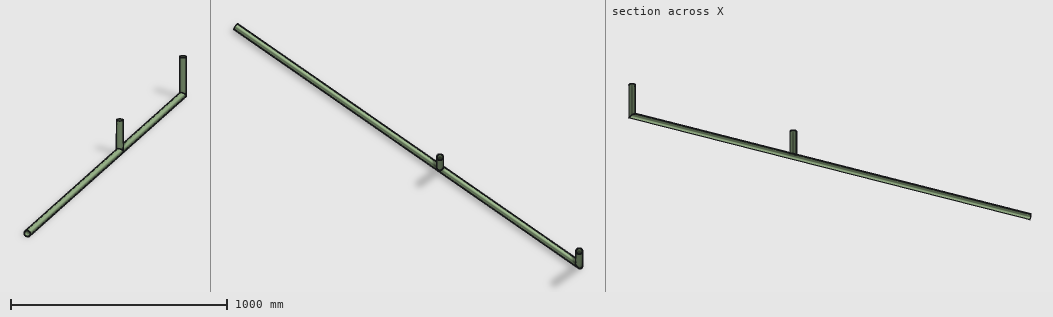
import cadquery as cq

PIPE_OD = 33.4
PIPE_ID = 26.14
PIPE_RADIUS = PIPE_OD / 2

OVERALL_LENGTH = 1981.19
OVERALL_HEIGHT = 203.21

CORNER_Y = OVERALL_LENGTH - PIPE_RADIUS
LEG_TOP = OVERALL_HEIGHT - PIPE_RADIUS

BRANCH_FROM_MITRED_END = 812.8
BRANCH_Y = OVERALL_LENGTH - BRANCH_FROM_MITRED_END
BRANCH_TOP = 152.4

MITER_REACH = PIPE_OD


def run_bar(diameter):
    """Solid round bar along the full length of the run."""
    return cq.Workplane("XZ").circle(diameter / 2).extrude(-OVERALL_LENGTH)


def upright_pipe(y, bottom, top):
    """Vertical pipe at the given Y between two heights."""
    return (
        cq.Workplane("XY", origin=(0, y, bottom))
        .circle(PIPE_OD / 2)
        .circle(PIPE_ID / 2)
        .extrude(top - bottom)
    )


def miter_wedge(side):
    """Prism on one side of the corner's 45 degree miter plane: +1 the leg's side, -1 the run's."""
    corners = [
        (MITER_REACH, -MITER_REACH),
        (-MITER_REACH, MITER_REACH),
        (side * MITER_REACH, side * MITER_REACH),
    ]
    return (
        cq.Workplane("YZ", origin=(0, CORNER_Y, 0))
        .polyline(corners)
        .close()
        .extrude(MITER_REACH, both=True)
    )


def make_run():
    """Long horizontal pipe, open at one end and mitred at the corner."""
    return run_bar(PIPE_OD).cut(run_bar(PIPE_ID)).cut(miter_wedge(1))


def make_leg():
    """Vertical end pipe, mitred at its foot."""
    return upright_pipe(CORNER_Y, -PIPE_RADIUS, LEG_TOP).cut(miter_wedge(-1))


def make_branch():
    """Vertical pipe whose foot is coped to sit on the outside of the run."""
    return upright_pipe(BRANCH_Y, 0, BRANCH_TOP).cut(run_bar(PIPE_OD))


run = make_run()
leg = make_leg()
branch = make_branch()

result = cq.Compound.makeCompound([run.val(), leg.val(), branch.val()])